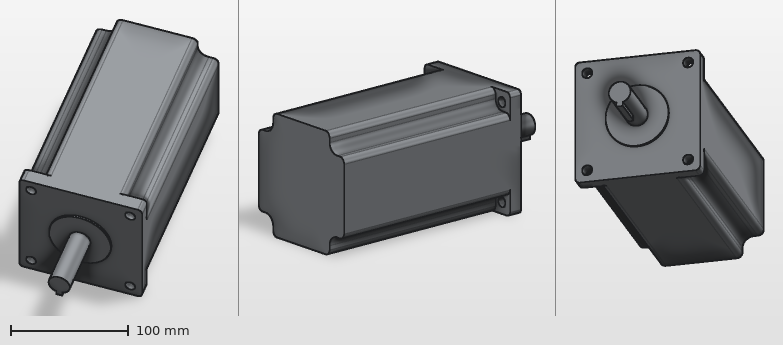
import cadquery as cq

total_length = 255.4
shaft_length = 54.0
pilot_height = 2.0
flange_thickness = 12.5
body_length = total_length - shaft_length - pilot_height - flange_thickness

width = 110.0
half_width = width / 2
flange_corner_radius = 4.0

groove_depth = 18.6
groove_inner_radius = 9.5
groove_edge_radius = 5.4

hole_spacing = 88.9
hole_diameter = 9.0
pilot_diameter = 55.5
shaft_diameter = 19.2
key_width = 5.5
key_drop = 12.8
key_length = 34.7
key_end_ratio = 0.499

pilot_face = -pilot_height
shaft_tip = pilot_face - shaft_length


def section(y):
    """Sketch plane across the motor axis; +Y is its negative extrusion direction."""
    return cq.Workplane("XZ", origin=(0, y, 0))


def make_body():
    """Square bar with a rounded groove cut along each of its four corners."""
    body = section(flange_thickness).rect(width, width).extrude(-body_length)
    corners = [(x, z) for x in (-half_width, half_width) for z in (-half_width, half_width)]
    grooves = (
        section(flange_thickness)
        .pushPoints(corners)
        .rect(2 * groove_depth, 2 * groove_depth)
        .extrude(-body_length)
    )
    body = body.cut(grooves)

    inner = half_width - groove_depth
    tolerance = 0.3
    for x_side in (-1, 1):
        for z_side in (-1, 1):
            edge_places = [
                (inner, inner, groove_inner_radius),
                (inner, half_width, groove_edge_radius),
                (half_width, inner, groove_edge_radius),
            ]
            for x, z, radius in edge_places:
                near_edge = cq.selectors.BoxSelector(
                    (x_side * x - tolerance, 0, z_side * z - tolerance),
                    (x_side * x + tolerance, total_length, z_side * z + tolerance),
                )
                body = body.edges("|Y").edges(near_edge).fillet(radius)
    return body


def make_flange():
    """Square mounting plate with rounded corners and four through holes."""
    plate = section(0).rect(width, width).extrude(-flange_thickness)
    plate = plate.edges("|Y").fillet(flange_corner_radius)
    holes = (
        section(0)
        .rect(hole_spacing, hole_spacing, forConstruction=True)
        .vertices()
        .circle(hole_diameter / 2)
        .extrude(-flange_thickness)
    )
    return plate.cut(holes)


def make_shaft():
    """Pilot disc and round shaft, with a key on the -Z side, rounded at its inner end, reaching the tip."""
    pilot = section(0).circle(pilot_diameter / 2).extrude(pilot_height)
    shaft = section(0).circle(shaft_diameter / 2).extrude(pilot_height + shaft_length)
    key = (
        section(shaft_tip)
        .center(0, -key_drop / 2)
        .rect(key_width, key_drop)
        .extrude(-key_length)
    )
    rounded_end = cq.selectors.BoxSelector(
        (-key_width, shaft_tip + key_length / 2, -width),
        (key_width, shaft_tip + 2 * key_length, width),
    )
    key = key.edges("|Z").edges(rounded_end).fillet(key_width * key_end_ratio)
    return pilot.union(shaft).union(key)


motor = make_body().union(make_flange()).union(make_shaft())

centring_shift = total_length / 2 - (flange_thickness + body_length)
result = motor.translate((0, centring_shift, 0))